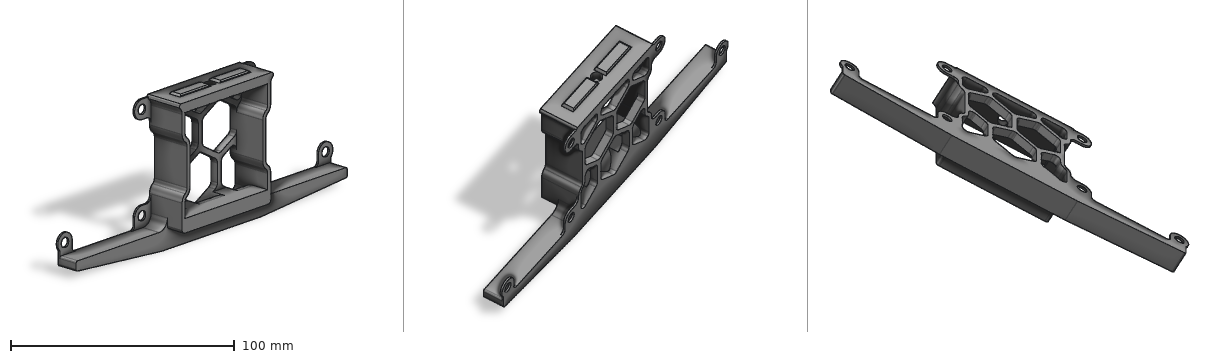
import cadquery as cq
import math

BODY_DEPTH = 20.0
BAR_DEPTH = 11.0
PLATE_THICKNESS = 1.0
RIB_DEPTH = 4.0
WALL = 2.0

BODY_MID_Z = 40.1
BODY_TOP_Z = 71.0
BODY_HALF_WIDTH = 29.0
BODY_CORNER_RADIUS = 1.7
WAIST_HALF_WIDTH = 25.8
WAIST_SHOULDER_RADIUS = 5.0
WAIST_HOLLOW_RADIUS = 3.0
WAIST_HALF_HEIGHT = 9.8
LIP_HALF_WIDTH = 30.85
LIP_TOP_HALF_WIDTH = 29.9
LIP_EDGE_Z = 69.3
LIP_ROOT_Z = 65.8
CEILING_Z = 66.2

FLOOR_Z = 16.2
FLOOR_ROLL_START_X = 11.1
FLOOR_ROLL_RADIUS = 9.0
FLOOR_ROLL_TURN = math.radians(60)

BAR_TOP_Z = 9.3
BAR_HALF_LENGTH = 88.7
BAR_END_Z = 4.5
BAR_FLAT_HALF_LENGTH = 32.5
BAR_CORNER_RADIUS = 1.0
BAR_ROOT_RADIUS = 5.4

OVERALL_LENGTH = 180.01
LUG_HOLE_DIAMETER = 4.8
LUG_Z_OFFSET = 25.1
LOW_LUG_Z = BODY_MID_Z - LUG_Z_OFFSET
HIGH_LUG_Z = BODY_MID_Z + LUG_Z_OFFSET
INNER_LUG_Y = 34.9
INNER_LUG_RADIUS = 4.85
OUTER_LUG_RADIUS = 4.75
OUTER_LUG_Y = OVERALL_LENGTH / 2 - OUTER_LUG_RADIUS
LUG_FOOT_FILLET = 2.2
LOW_LUG_FILLET = 3.2
HIGH_LUG_FILLET = 2.5

CELL_WIDTH = 22.5
RIB_WIDTH = 2.6
CELL_PITCH = CELL_WIDTH + RIB_WIDTH
ROW_PITCH = CELL_PITCH * math.sqrt(3) / 2
CELL_HALF_HEIGHT = 12.9
CELL_SLOPE = math.radians(30)
CELL_CORNER_RADIUS = 3.0
CLIPPED_CORNER_RADIUS = 2.4
MIDDLE_ROW_Z = 46.1

KEY_LENGTH = 20.6
KEY_WIDTH = 6.4
KEY_HEIGHT = 1.0
KEY_CHAMFER = 0.6
KEY_END_SLOPE = 1.2
KEY_CENTRE_Y = 13.0
TOP_HOLE_DIAMETER = 5.4
TOP_CENTRE_X = BODY_DEPTH / 2


def side_sketch():
    """Workplane facing +X whose local axes are Y and Z."""
    return cq.Workplane("YZ")


def box(x_range, y_range, z_range):
    size = [high - low for low, high in (x_range, y_range, z_range)]
    corner = (x_range[0], y_range[0], z_range[0])
    return cq.Workplane("XY").box(*size, centered=False).translate(corner)


def both_sides(half):
    """Join a feature on the +Y side to its mirror image."""
    return half.union(half.mirror("XZ"))


def waist_cutter(inset):
    """Material on the +Y side between the wide wall and its waist, all moved inwards by inset."""
    narrow_y = WAIST_HALF_WIDTH - inset
    wide_y = BODY_HALF_WIDTH - inset
    narrow_radius = WAIST_HOLLOW_RADIUS + inset
    wide_radius = WAIST_SHOULDER_RADIUS - inset
    turn = math.acos(1 - (wide_y - narrow_y) / (narrow_radius + wide_radius))
    narrow_end = WAIST_HALF_HEIGHT
    wide_end = narrow_end + (narrow_radius + wide_radius) * math.sin(turn)

    def narrow_point(angle):
        return (
            narrow_y + narrow_radius * (1 - math.cos(angle)),
            narrow_end + narrow_radius * math.sin(angle),
        )

    def wide_point(angle):
        return (
            wide_y - wide_radius * (1 - math.cos(angle)),
            wide_end - wide_radius * math.sin(angle),
        )

    upper_half = (
        side_sketch()
        .moveTo(narrow_y, 0)
        .lineTo(narrow_y, narrow_end)
        .threePointArc(narrow_point(turn / 2), narrow_point(turn))
        .threePointArc(wide_point(turn / 2), (wide_y, wide_end))
        .lineTo(wide_y, 0)
        .close()
        .extrude(BODY_DEPTH)
    )
    return upper_half.union(upper_half.mirror("XY")).translate((0, 0, BODY_MID_Z))


def upright_arc_radius(run, rise):
    """Radius of an arc that starts upright and spans the given run and rise."""
    return (run**2 + rise**2) / (2 * run)


def make_lip():
    """Lip half on the +Y side: rounded above, hollowed by an arc below."""
    overhang = LIP_HALF_WIDTH - BODY_HALF_WIDTH
    rise = LIP_EDGE_Z - LIP_ROOT_Z
    radius = upright_arc_radius(overhang, rise)
    half_angle = math.atan2(overhang, rise)
    nose_radius = upright_arc_radius(LIP_HALF_WIDTH - LIP_TOP_HALF_WIDTH, BODY_TOP_Z - LIP_EDGE_Z)
    arc_mid = (
        BODY_HALF_WIDTH + radius * (1 - math.cos(half_angle)),
        LIP_ROOT_Z + radius * math.sin(half_angle),
    )
    return (
        side_sketch()
        .moveTo(0, BODY_TOP_Z)
        .lineTo(LIP_TOP_HALF_WIDTH, BODY_TOP_Z)
        .radiusArc((LIP_HALF_WIDTH, LIP_EDGE_Z), nose_radius)
        .threePointArc(arc_mid, (BODY_HALF_WIDTH, LIP_ROOT_Z))
        .lineTo(0, LIP_ROOT_Z)
        .close()
        .extrude(BODY_DEPTH)
    )


def make_body():
    width_range = (-BODY_HALF_WIDTH, BODY_HALF_WIDTH)
    block = box((0, BODY_DEPTH), width_range, (BAR_TOP_Z, BODY_TOP_Z))
    block = block.edges("|X and <Z").fillet(BODY_CORNER_RADIUS)
    waist = waist_cutter(inset=0)
    return block.cut(both_sides(waist)).union(both_sides(make_lip()))


def make_bar():
    outline = [
        (-BAR_FLAT_HALF_LENGTH, 0),
        (BAR_FLAT_HALF_LENGTH, 0),
        (BAR_HALF_LENGTH, BAR_END_Z),
        (BAR_HALF_LENGTH, BAR_TOP_Z),
        (-BAR_HALF_LENGTH, BAR_TOP_Z),
        (-BAR_HALF_LENGTH, BAR_END_Z),
    ]
    bar = side_sketch().polyline(outline).close().extrude(BAR_DEPTH)
    bar = bar.edges("|X and (<Y or >Y)").fillet(BAR_CORNER_RADIUS)
    root_y = BODY_HALF_WIDTH + BAR_ROOT_RADIUS
    root_z = BAR_TOP_Z + BAR_ROOT_RADIUS
    root = box((0, BAR_DEPTH), (BODY_HALF_WIDTH - WALL, root_y), (BAR_END_Z, root_z))
    hollow = side_sketch().center(root_y, root_z).circle(BAR_ROOT_RADIUS).extrude(BAR_DEPTH)
    return bar.union(both_sides(root.cut(hollow)))


def plate_piece(y_range, z_range):
    return box((0, PLATE_THICKNESS), y_range, z_range)


def lug_disc(y, z, radius):
    return side_sketch().center(y, z).circle(radius).extrude(PLATE_THICKNESS)


def corner_web(y, z, y_side, z_side, radius):
    """Fillet web in the corner (y, z), spreading towards y_side and z_side."""
    centre = (y + y_side * radius, z + z_side * radius)
    web = plate_piece(sorted((y, centre[0])), sorted((z, centre[1])))
    return web.cut(lug_disc(*centre, radius))


def make_lugs():
    """Thin plate on the +Y side that carries the screw lugs."""
    inner_edge = INNER_LUG_Y + INNER_LUG_RADIUS
    outer_near_edge = OUTER_LUG_Y - OUTER_LUG_RADIUS
    low_top = LOW_LUG_Z + INNER_LUG_RADIUS
    high_bottom = HIGH_LUG_Z - INNER_LUG_RADIUS
    high_top = HIGH_LUG_Z + INNER_LUG_RADIUS
    body_side = BODY_HALF_WIDTH - WALL
    pieces = [
        lug_disc(INNER_LUG_Y, LOW_LUG_Z, INNER_LUG_RADIUS),
        plate_piece((body_side, INNER_LUG_Y), (BAR_END_Z, low_top)),
        plate_piece((INNER_LUG_Y, inner_edge), (BAR_END_Z, LOW_LUG_Z)),
        corner_web(BODY_HALF_WIDTH, low_top, 1, 1, LOW_LUG_FILLET),
        corner_web(inner_edge, BAR_TOP_Z, 1, 1, LUG_FOOT_FILLET),
        lug_disc(INNER_LUG_Y, HIGH_LUG_Z, INNER_LUG_RADIUS),
        plate_piece((body_side, INNER_LUG_Y), (high_bottom, high_top)),
        corner_web(BODY_HALF_WIDTH, high_bottom, 1, -1, HIGH_LUG_FILLET),
        lug_disc(OUTER_LUG_Y, LOW_LUG_Z, OUTER_LUG_RADIUS),
        plate_piece((outer_near_edge, BAR_HALF_LENGTH), (BAR_TOP_Z - BAR_CORNER_RADIUS, LOW_LUG_Z)),
        corner_web(outer_near_edge, BAR_TOP_Z, -1, 1, LUG_FOOT_FILLET),
    ]
    plate = pieces[0]
    for piece in pieces[1:]:
        plate = plate.union(piece)
    return plate


def make_lug_holes():
    places = [(INNER_LUG_Y, LOW_LUG_Z), (INNER_LUG_Y, HIGH_LUG_Z), (OUTER_LUG_Y, LOW_LUG_Z)]
    holes = side_sketch().pushPoints(places).circle(LUG_HOLE_DIAMETER / 2).extrude(PLATE_THICKNESS)
    return both_sides(holes)


def make_interior():
    """Space between the side walls, from below the cells up to the ceiling."""
    half_width = BODY_HALF_WIDTH - WALL
    space = box((0, BODY_DEPTH), (-half_width, half_width), (BAR_TOP_Z, CEILING_Z))
    waist = waist_cutter(inset=WALL)
    return space.cut(both_sides(waist))


def make_cell(interior, y, z):
    """One honeycomb opening, clipped by the interior and rounded at every corner."""
    shoulder = CELL_HALF_HEIGHT - CELL_WIDTH / 2 * math.tan(CELL_SLOPE)
    half_outline = [
        (0, -CELL_HALF_HEIGHT),
        (CELL_WIDTH / 2, -shoulder),
        (CELL_WIDTH / 2, shoulder),
        (0, CELL_HALF_HEIGHT),
    ]
    half_cell = side_sketch().polyline(half_outline).close().extrude(BODY_DEPTH)
    cell = both_sides(half_cell).clean().translate((0, y, z))
    rounded = cell.edges("|X").edges("<Y or >Y").fillet(CELL_CORNER_RADIUS)
    outline = rounded.intersect(interior).faces("<X").wires().val()
    shrunk = outline.offset2D(-CLIPPED_CORNER_RADIUS)[0]
    outline = shrunk.offset2D(CLIPPED_CORNER_RADIUS)[0]
    return cq.Workplane(cq.Solid.extrudeLinear(outline, [], cq.Vector(BODY_DEPTH, 0, 0)))


def make_floor():
    """Solid below the rolled inner floor."""
    centre_z = FLOOR_Z - FLOOR_ROLL_RADIUS

    def roll_point(turn):
        return (
            FLOOR_ROLL_START_X - FLOOR_ROLL_RADIUS * math.sin(turn),
            centre_z + FLOOR_ROLL_RADIUS * math.cos(turn),
        )

    end = roll_point(FLOOR_ROLL_TURN)
    return (
        cq.Workplane("XZ")
        .moveTo(BODY_DEPTH, FLOOR_Z)
        .lineTo(FLOOR_ROLL_START_X, FLOOR_Z)
        .threePointArc(roll_point(FLOOR_ROLL_TURN / 2), end)
        .lineTo(end[0], 0)
        .lineTo(BODY_DEPTH, 0)
        .close()
        .extrude(BODY_HALF_WIDTH, both=True)
    )


def make_hollow():
    """Honeycomb openings and the cavity behind them, above the inner floor."""
    interior = make_interior()
    behind_ribs = box(
        (RIB_DEPTH, BODY_DEPTH), (-BODY_HALF_WIDTH, BODY_HALF_WIDTH), (FLOOR_Z, BODY_TOP_Z)
    )
    hollow = interior.intersect(behind_ribs)
    for row in (-1, 0, 1):
        columns = (-0.5, 0.5) if row == 0 else (-1, 0, 1)
        for column in columns:
            centre = (column * CELL_PITCH, MIDDLE_ROW_Z + row * ROW_PITCH)
            hollow = hollow.union(make_cell(interior, *centre))
    return hollow.cut(make_floor())


def make_key(y):
    """Raised key with sloping ends and chamfered long sides."""
    profile = [
        (-KEY_LENGTH / 2, 0),
        (KEY_LENGTH / 2, 0),
        (KEY_LENGTH / 2 - KEY_END_SLOPE, KEY_HEIGHT),
        (KEY_END_SLOPE - KEY_LENGTH / 2, KEY_HEIGHT),
    ]
    key = side_sketch().polyline(profile).close().extrude(KEY_WIDTH)
    key = key.faces(">Z").edges("|Y").chamfer(KEY_CHAMFER)
    return key.translate((TOP_CENTRE_X - KEY_WIDTH / 2, y, BODY_TOP_Z))


def make_top_hole():
    height = BODY_TOP_Z - CEILING_Z
    return (
        cq.Workplane("XY", origin=(TOP_CENTRE_X, 0, CEILING_Z))
        .circle(TOP_HOLE_DIAMETER / 2)
        .extrude(height)
    )


result = make_body().union(make_bar()).union(both_sides(make_lugs()))
result = result.cut(make_hollow()).cut(make_lug_holes())
result = result.union(both_sides(make_key(KEY_CENTRE_Y))).cut(make_top_hole())